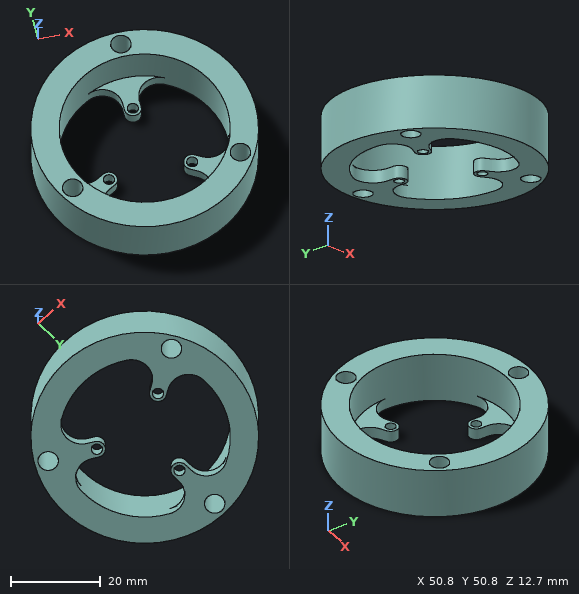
import cadquery as cq
import math

outer_diameter = 50.8
inner_diameter = 38.1
ring_height = 12.7
inner_radius = inner_diameter / 2
bolt_circle_radius = (outer_diameter + inner_diameter) / 4
bolt_hole_diameter = 4.5

arm_count = 3
arm_spacing = 360 / arm_count
arm_height = 3.0
arm_half_width = 1.95
pin_hole_diameter = 2.45
pin_circle_radius = 11.0
flare_radius = 4.65

flare_x = arm_half_width + flare_radius
flare_center_distance = inner_radius - flare_radius
flare_y = math.sqrt(flare_center_distance**2 - flare_x**2)
flare_end_x = flare_x * inner_radius / flare_center_distance
flare_end_y = flare_y * inner_radius / flare_center_distance

bore_tangent_angle = math.atan2(flare_y, flare_x)
flare_mid_angle = (math.pi + bore_tangent_angle) / 2
flare_mid_x = flare_x + flare_radius * math.cos(flare_mid_angle)
flare_mid_y = flare_y + flare_radius * math.sin(flare_mid_angle)


def make_ring():
    return (
        cq.Workplane("XY")
        .circle(outer_diameter / 2)
        .circle(inner_radius)
        .extrude(ring_height)
    )


def make_arm():
    """Arm on the +Y side, with its root buried in the ring wall."""
    return (
        cq.Workplane("XY")
        .moveTo(flare_end_x, flare_end_y)
        .threePointArc((flare_mid_x, flare_mid_y), (arm_half_width, flare_y))
        .lineTo(arm_half_width, pin_circle_radius)
        .threePointArc((0, pin_circle_radius - arm_half_width), (-arm_half_width, pin_circle_radius))
        .lineTo(-arm_half_width, flare_y)
        .threePointArc((-flare_mid_x, flare_mid_y), (-flare_end_x, flare_end_y))
        .threePointArc((0, bolt_circle_radius), (flare_end_x, flare_end_y))
        .close()
        .extrude(arm_height)
    )


def make_holes(circle_radius, diameter):
    """Through-hole cutters, one on the centerline of each arm."""
    return (
        cq.Workplane("XY")
        .polarArray(circle_radius, 90, 360, arm_count)
        .circle(diameter / 2)
        .extrude(ring_height)
    )


result = make_ring()
arm = make_arm()
for index in range(arm_count):
    result = result.union(arm.rotate((0, 0, 0), (0, 0, 1), index * arm_spacing))

result = result.cut(make_holes(bolt_circle_radius, bolt_hole_diameter))
result = result.cut(make_holes(pin_circle_radius, pin_hole_diameter))